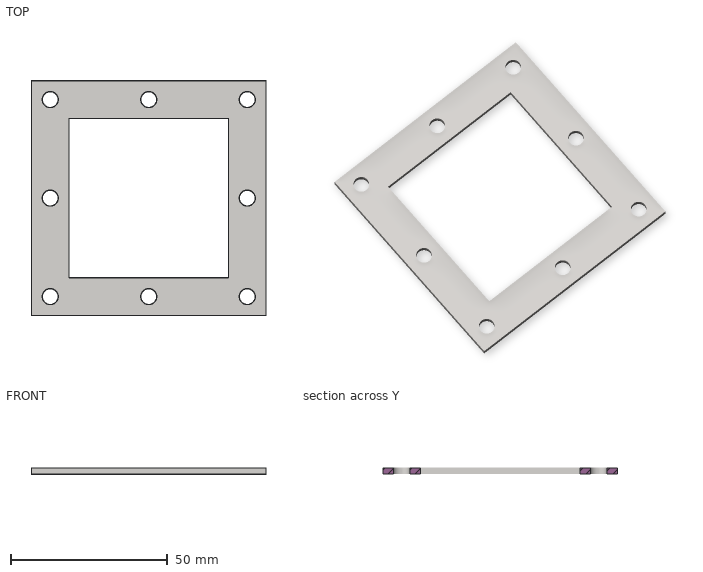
import cadquery as cq

side = 75.0
thickness = 2.0
opening_side = 50.8
hole_diameter = 5.0

border_width = (side - opening_side) / 2
hole_offset = side / 2 - border_width / 2

steps = (-1, 0, 1)
hole_centers = [
    (column * hole_offset, row * hole_offset)
    for column in steps
    for row in steps
    if (column, row) != (0, 0)
]

plate = cq.Workplane("XY").box(side, side, thickness)

frame = plate.faces(">Z").workplane().rect(opening_side, opening_side).cutThruAll()

result = frame.faces(">Z").workplane(origin=(0, 0, 0)).pushPoints(hole_centers).hole(hole_diameter)